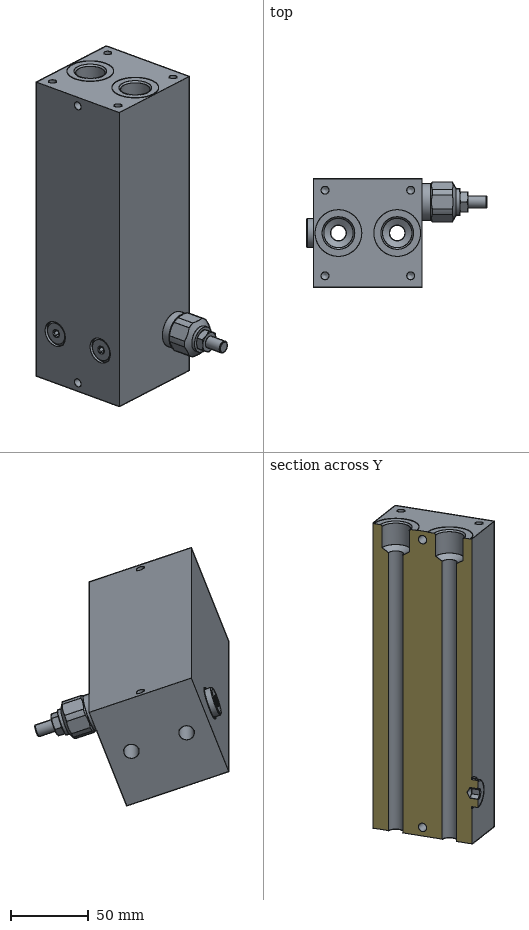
import cadquery as cq
import math

block_side = 70.0
block_height = 210.0
half_side = block_side / 2

port_offset = 19.0
port_seal_diameter = 30.0
port_seal_depth = 0.2
port_mouth_diameter = 21.0
port_bore_diameter = 19.0
port_depth = 16.0
passage_diameter = 9.9
drill_point_angle = 118.0

corner_hole_offset = 27.5
corner_hole_diameter = 5.0
corner_hole_depth = 12.0
mount_hole_diameter = 5.5
mount_hole_edge_distance = 6.0

fitting_height = 35.0

front_plug_diameter = 17.0
front_plug_recess = 0.8
front_plug_chamfer = 1.3
front_socket_mouth = 5.5
front_socket_flats = 4.0
front_socket_depth = 4.2

side_plug_diameter = 19.0
side_plug_projection = 4.5
side_plug_chamfer = 0.6
side_recess_diameter = 21.5
side_recess_depth = 0.5
side_socket_mouth = 7.4
side_socket_flats = 6.0
side_socket_depth = 6.0

valve_y = 20.0
flange_diameter = 24.0
flange_end = 5.5
hex_flats = 24.2
hex_round_diameter = 25.8
hex_back_diameter = 22.7
hex_back_chamfer = 1.0
hex_shoulder = 19.3
nose_end = 21.8
collar_diameter = 17.2
collar_end = 24.2
nut_flats = 13.0
nut_end = 29.5
nut_chamfer_angle = 30.0
stud_diameter = 8.0
stud_end = 41.5
stud_chamfer = 0.52


def drill_point_depth(diameter):
    return diameter / 2 / math.tan(math.radians(drill_point_angle / 2))


def hex_corner_diameter(flats):
    return flats / math.cos(math.radians(30))


def turned(points):
    """Solid of revolution about Z from (radius, height) points; the axis closes the outline."""
    return cq.Workplane("XZ").polyline(points).close().revolve(360, (0, 0), (0, 1))


def drilled_hole(diameter, depth):
    """Blind hole going down from Z = 0 with a drill point."""
    radius = diameter / 2
    tip = depth + drill_point_depth(diameter)
    return turned([(0, 0), (radius, 0), (radius, -depth), (0, -tip)])


def port_cutter():
    """Port going down from Z = 0: seal face, countersunk bore, conical floor, passage."""
    seal_radius = port_seal_diameter / 2
    mouth_radius = port_mouth_diameter / 2
    bore_radius = port_bore_diameter / 2
    mouth_bottom = port_seal_depth + mouth_radius - bore_radius
    bore = drilled_hole(port_bore_diameter, port_depth)
    mouth = turned([
        (0, 0),
        (seal_radius, 0),
        (seal_radius, -port_seal_depth),
        (mouth_radius, -port_seal_depth),
        (bore_radius, -mouth_bottom),
        (0, -mouth_bottom),
    ])
    passage = cq.Workplane("XY").circle(passage_diameter / 2).extrude(-block_height)
    return bore.union(mouth).union(passage)


def hex_socket(mouth, flats, depth):
    """Countersunk hexagon socket going down from Z = 0, ending in a cone."""
    socket = cq.Workplane("XY").polygon(6, hex_corner_diameter(flats)).extrude(-depth)
    point = drilled_hole(flats, depth)
    countersink = turned([(0, 0), (mouth / 2, 0), (0, -mouth / 2)])
    return socket.union(point).union(countersink)


def front_plug_cutter():
    """Space in front of a sunk plug, the groove left by its chamfered rim, and its socket."""
    radius = front_plug_diameter / 2
    clearance = turned([
        (0, 0),
        (radius, 0),
        (radius, -front_plug_recess - front_plug_chamfer),
        (radius - front_plug_chamfer, -front_plug_recess),
        (0, -front_plug_recess),
    ])
    socket = hex_socket(front_socket_mouth, front_socket_flats, front_socket_depth)
    return clearance.union(socket.translate((0, 0, -front_plug_recess)))


def side_plug():
    """Collar rising from the floor of its recess at Z = 0."""
    height = side_recess_depth + side_plug_projection
    collar = cq.Workplane("XY").circle(side_plug_diameter / 2).extrude(height)
    return collar.faces(">Z").chamfer(side_plug_chamfer)


def valve_hexagon():
    """Large hexagon with rounded corners, a chamfered back and a conical nose."""
    corner_diameter = hex_corner_diameter(hex_flats)
    prism = (
        cq.Workplane("XY")
        .polygon(6, corner_diameter)
        .extrude(nose_end - flange_end)
        .rotate((0, 0, 0), (0, 0, 1), 90)
        .translate((0, 0, flange_end))
    )
    envelope = turned([
        (0, flange_end),
        (hex_back_diameter / 2, flange_end),
        (hex_round_diameter / 2, flange_end + hex_back_chamfer),
        (hex_round_diameter / 2, hex_shoulder),
        (collar_diameter / 2, nose_end),
        (0, nose_end),
    ])
    return prism.intersect(envelope)


def valve_nut():
    """Lock nut whose corners are chamfered at both ends."""
    flat_radius = nut_flats / 2
    corner_radius = hex_corner_diameter(nut_flats) / 2
    chamfer = (corner_radius - flat_radius) * math.tan(math.radians(nut_chamfer_angle))
    prism = (
        cq.Workplane("XY")
        .workplane(offset=collar_end)
        .polygon(6, 2 * corner_radius)
        .extrude(nut_end - collar_end)
    )
    envelope = turned([
        (0, collar_end),
        (flat_radius, collar_end),
        (corner_radius, collar_end + chamfer),
        (corner_radius, nut_end - chamfer),
        (flat_radius, nut_end),
        (0, nut_end),
    ])
    return prism.intersect(envelope)


def valve():
    """Cartridge valve along +Z with its mounting face at Z = 0."""
    flange = cq.Workplane("XY").circle(flange_diameter / 2).extrude(flange_end)
    collar = cq.Workplane("XY").circle(collar_diameter / 2).extrude(collar_end)
    stud = cq.Workplane("XY").circle(stud_diameter / 2).extrude(stud_end)
    stud = stud.faces(">Z").chamfer(stud_chamfer)
    return flange.union(valve_hexagon()).union(collar).union(valve_nut()).union(stud)


def facing_front(shape):
    """Turn a shape built along +Z so that it points along -Y."""
    return shape.rotate((0, 0, 0), (1, 0, 0), 90)


def facing_left(shape):
    """Turn a shape built along +Z so that it points along -X."""
    return shape.rotate((0, 0, 0), (0, 1, 0), -90)


def facing_right(shape):
    """Turn a shape built along +Z so that it points along +X."""
    return shape.rotate((0, 0, 0), (0, 1, 0), 90)


result = cq.Workplane("XY").box(block_side, block_side, block_height, centered=(True, True, False))

for x in (-port_offset, port_offset):
    result = result.cut(port_cutter().translate((x, 0, block_height)))
    result = result.cut(facing_front(front_plug_cutter()).translate((x, -half_side, fitting_height)))

for x in (-corner_hole_offset, corner_hole_offset):
    for y in (-corner_hole_offset, corner_hole_offset):
        hole = drilled_hole(corner_hole_diameter, corner_hole_depth)
        result = result.cut(hole.translate((x, y, block_height)))

for z in (mount_hole_edge_distance, block_height - mount_hole_edge_distance):
    hole = cq.Workplane("XY").circle(mount_hole_diameter / 2).extrude(-block_side)
    result = result.cut(facing_front(hole).translate((0, -half_side, z)))

recess = cq.Workplane("XY").circle(side_recess_diameter / 2).extrude(-side_recess_depth)
side_socket = hex_socket(side_socket_mouth, side_socket_flats, side_socket_depth)
result = result.cut(facing_left(recess).translate((-half_side, 0, fitting_height)))
result = result.union(facing_left(side_plug()).translate((side_recess_depth - half_side, 0, fitting_height)))
result = result.cut(facing_left(side_socket).translate((-half_side - side_plug_projection, 0, fitting_height)))

result = result.union(facing_right(valve()).translate((half_side, valve_y, fitting_height)))